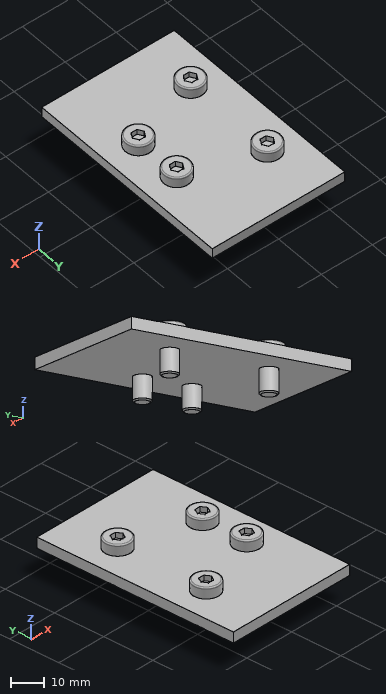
import cadquery as cq
import math

plate_width = 52.0
plate_length = 80.0
plate_thickness = 4.0

head_diameter = 10.0
head_height = 4.0
head_edge_radius = 0.5
shank_diameter = 6.0
shank_projection = 8.0
shank_tip_chamfer = 0.5
socket_across_flats = 4.0
socket_depth = 2.0

column_spacing = 28.0
left_pair_spacing = 36.0
right_pair_spacing = left_pair_spacing / 2

screw_positions = [
    (side * column_spacing / 2, end * pair_spacing / 2)
    for side, pair_spacing in ((-1, left_pair_spacing), (1, right_pair_spacing))
    for end in (-1, 1)
]


def make_plate():
    return cq.Workplane("XY").box(
        plate_width, plate_length, plate_thickness, centered=(True, True, False)
    )


def make_screw():
    """Screw on the Z axis, with its head seated on top of the plate."""
    head = (
        cq.Workplane("XY", origin=(0, 0, plate_thickness))
        .circle(head_diameter / 2)
        .extrude(head_height)
        .faces(">Z")
        .edges()
        .fillet(head_edge_radius)
    )
    shank = (
        cq.Workplane("XY", origin=(0, 0, -shank_projection))
        .circle(shank_diameter / 2)
        .extrude(shank_projection + plate_thickness)
        .faces("<Z")
        .edges()
        .chamfer(shank_tip_chamfer)
    )
    socket_across_corners = socket_across_flats / math.cos(math.pi / 6)
    socket = (
        cq.Workplane("XY", origin=(0, 0, plate_thickness + head_height))
        .polygon(6, socket_across_corners)
        .extrude(-socket_depth)
    )
    return head.union(shank).cut(socket)


result = make_plate()
screw = make_screw()
for x, y in screw_positions:
    result = result.union(screw.translate((x, y, 0)))